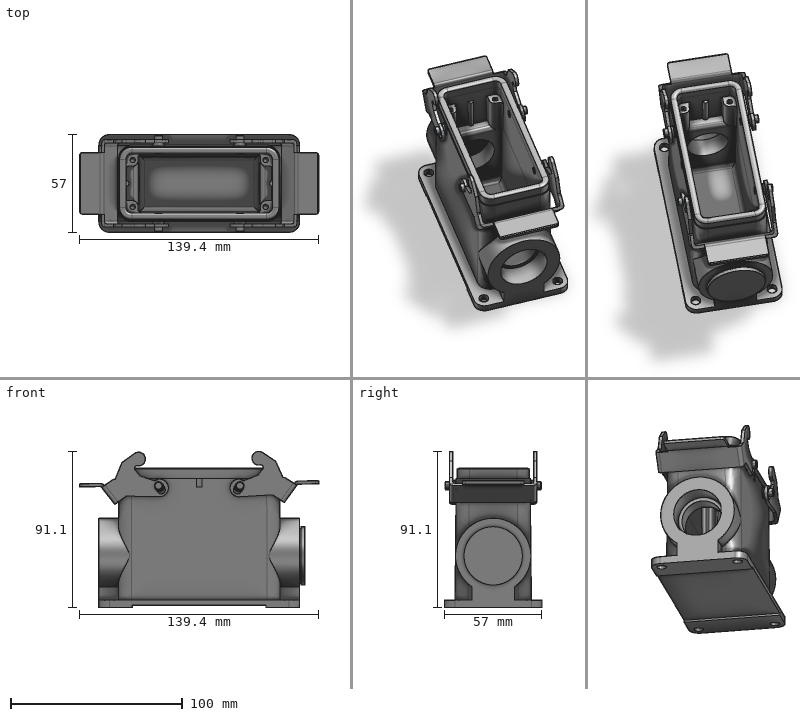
import cadquery as cq
import math

base_half_x = 58.5
base_half_y = 28.51
base_corner = 6.3
base_height = 4.3
underside_half_x = 38.9
underside_depth = 1.3
screw_x = 52.4
screw_y = 22.6
screw_dia = 5.6

foot_half_x = 47.1
foot_half_y = 22.3
body_half_x = 47.0
body_half_y = 21.6
body_corner = 7.7
body_top = 75.3

rim_step = 0.5
rim_half_x = body_half_x - rim_step
rim_half_y = body_half_y - rim_step
rim_corner = body_corner - rim_step
rim_edge_z = 80.6
rim_top_z = 81.3
wall = 3.8

notch_width = 3.0
notch_bottom = 70.1
notch_depth = 0.4

cavity_half_x = rim_half_x - wall
cavity_half_y = rim_half_y - wall
cavity_corner = rim_corner - wall
cavity_draft = 0.4
shelf_z = 48.8
shelf_half_y = cavity_half_y - cavity_draft
well_half_x = 35.7
shelf_edge_round = 2.6
floor_half_x = 34.6
floor_half_y = 16.3
floor_z = base_height
floor_fillet = 2.8

post_inner_x = well_half_x
post_inner_y = 10.0
post_round = 3.2
post_side_blend = 2.8
post_end_blend = 1.4
post_top = 69.3
post_foot = shelf_z - shelf_edge_round
post_hole_dia = 3.0
post_hole_x = 38.8
post_hole_y = 13.7
post_hole_depth = 14.0
post_hole_tip = 1.0

peg_dia = 3.3
peg_top = 68.3

port_z = 30.1
port_dia = 43.9
port_inner_x = 39.5
port_web_half_y = 12.3
bore_dia = 28.3
bore_shoulder_x = 45.5
throat_dia = 24.0

plug_neck_dia = 32.0
plug_neck_length = 0.8
plug_head_dia = 34.0
plug_head_length = 2.2

pivot_x = 23.7
pivot_z = 71.0
pin_dia = 4.7
pin_tip_dia = 4.0
pin_tip_y = 28.0
boss_foot_dia = 7.0
boss_head_dia = 5.6
boss_collar_y = 22.3
dimple_dia = 4.0
dimple_depth = 0.3

lever_half_y = 25.5
sheet = 2.0
lever_bend = 2.4
lever_bend_inside = 1.8
lever_reach = 55.8
left_tilt = -0.9
right_tilt = 1.4

plate_top = (33.2, -0.5)
plate_bottom = (25.7, -10.5)
hook_center = (11.5, 15.8)
hook_radius = 4.0
eye_center = (-0.5, -1.3)
eye_radius = 5.2
slot_run = (-1.5, -2.44)

plate_run = (plate_top[0] - plate_bottom[0], plate_top[1] - plate_bottom[1])
plate_length = math.hypot(*plate_run)
plate_along = (plate_run[0] / plate_length, plate_run[1] / plate_length)
plate_inward = (-plate_along[1], plate_along[0])
plate_inner_top = (plate_top[0] + sheet * plate_inward[0], plate_top[1] + sheet * plate_inward[1])

tab_tip = 46.0
tab_bend = 2.8
tab_edge_x = 0.7
tab_edge_z = 0.4
tab_bottom = 0.0
tab_half_y = 18.0
tab_corner = 1.8


def rounded_slab(half_x, half_y, corner, z_low, z_high):
    """Upright block with a rounded rectangular outline."""
    slab = cq.Workplane("XY").workplane(offset=z_low).rect(2 * half_x, 2 * half_y)
    return slab.extrude(z_high - z_low).edges("|Z").fillet(corner)


def rounded_outline(half_x, half_y, corner, z):
    """Rounded rectangle at height z."""
    return cq.Sketch().rect(2 * half_x, 2 * half_y).vertices().fillet(corner).moved(cq.Location((0, 0, z)))


def tapered_block(low_half, low_z, high_half, high_z):
    """Four-sided block whose rectangular section changes from bottom to top."""
    block = cq.Workplane("XY").workplane(offset=low_z).rect(2 * low_half[0], 2 * low_half[1])
    block = block.workplane(offset=high_z - low_z).rect(2 * high_half[0], 2 * high_half[1])
    return block.loft(ruled=True)


def x_cylinder(dia, x_start, x_end):
    """Cylinder along X on the port axis."""
    disc = cq.Workplane("YZ", origin=(x_start, 0, port_z)).circle(dia / 2)
    return disc.extrude(x_end - x_start)


def turned_about_y(steps):
    """Round part along +Y through a pivot; steps are (radius, y) from the inside outward."""
    outline = [(0, steps[0][1])] + steps + [(0, steps[-1][1])]
    return cq.Workplane("XY").polyline(outline).close().revolve(360, (0, 0, 0), (0, 1, 0))


def at_pivots(shape):
    """The shape repeated on all four lever pivots."""
    placed = cq.Workplane("XY")
    for x in (-pivot_x, pivot_x):
        for turn in (0, 180):
            placed = placed.add(shape.rotate((0, 0, 0), (0, 0, 1), turn).translate((x, 0, pivot_z)))
    return placed.combine()


def mirrored_to_corners(shape):
    """The shape of the +X +Y corner together with its three mirror images."""
    pair = shape.union(shape.mirror("YZ"))
    return pair.union(pair.mirror("XZ"))


def make_base():
    """Mounting flange with four screw holes and a relieved underside."""
    base = rounded_slab(base_half_x, base_half_y, base_corner, 0, base_height)
    recess = cq.Workplane("XY").box(2 * underside_half_x, 2 * base_half_y, underside_depth,
                                    centered=(True, True, False))
    holes = cq.Workplane("XY").rect(2 * screw_x, 2 * screw_y, forConstruction=True).vertices()
    holes = holes.circle(screw_dia / 2).extrude(base_height)
    return base.cut(recess).cut(holes)


def make_hood():
    """Drafted outer walls with the slightly smaller rim on top."""
    hood = cq.Workplane("XY").placeSketch(
        rounded_outline(foot_half_x, foot_half_y, body_corner, base_height),
        rounded_outline(body_half_x, body_half_y, body_corner, body_top),
    ).loft(ruled=True)
    rim = rounded_slab(rim_half_x, rim_half_y, rim_corner, body_top, rim_edge_z)
    return hood.union(rim)


def make_rim_crown():
    """Low rounded ridge that runs along the top of the rim."""
    mid_x = rim_half_x - wall / 2
    mid_y = rim_half_y - wall / 2
    mid_corner = rim_corner - wall / 2
    straight_x = mid_x - mid_corner
    straight_y = mid_y - mid_corner
    diagonal = mid_corner * math.sqrt(0.5)
    path = cq.Workplane("XY", origin=(0, 0, rim_edge_z)).moveTo(mid_x, 0)
    for sx, sy in ((1, 1), (-1, 1), (-1, -1), (1, -1)):
        side_point = (sx * mid_x, sy * straight_y)
        end_point = (sx * straight_x, sy * mid_y)
        middle = (sx * (straight_x + diagonal), sy * (straight_y + diagonal))
        start, finish = (side_point, end_point) if sx == sy else (end_point, side_point)
        path = path.lineTo(*start).threePointArc(middle, finish)
    path = path.close()
    ridge = cq.Workplane("XZ").moveTo(cavity_half_x, rim_edge_z)
    ridge = ridge.threePointArc((mid_x, rim_top_z), (rim_half_x, rim_edge_z)).close()
    return ridge.sweep(path)


def make_ports():
    """Both cable ports with the webs that carry them."""
    port = x_cylinder(port_dia, port_inner_x, base_half_x)
    web = cq.Workplane("XY").box(base_half_x - port_inner_x, 2 * port_web_half_y, port_z,
                                 centered=(False, True, False)).translate((port_inner_x, 0, 0))
    web = web.cut(cq.Workplane("XY").box(2 * base_half_x, 2 * base_half_y, base_height,
                                         centered=(True, True, False)))
    port = port.union(web)
    return port.union(port.mirror("YZ"))


def make_port_bores():
    """Through passage along X with a wider bore at each end."""
    throat = x_cylinder(throat_dia, -base_half_x, base_half_x)
    for side in (-1, 1):
        throat = throat.union(x_cylinder(bore_dia, side * bore_shoulder_x, side * base_half_x))
    return throat


def make_cavity():
    """Drafted upper chamber and the narrower well below its end shelves."""
    throat = rounded_slab(cavity_half_x, cavity_half_y, cavity_corner, body_top, rim_top_z)
    chamber = cq.Workplane("XY").placeSketch(
        rounded_outline(cavity_half_x - cavity_draft, shelf_half_y, cavity_corner, shelf_z),
        rounded_outline(cavity_half_x, cavity_half_y, cavity_corner, body_top),
    ).loft(ruled=True)
    well = tapered_block((floor_half_x, floor_half_y), floor_z, (well_half_x, shelf_half_y), shelf_z)
    well = well.faces("<Z").edges().fillet(floor_fillet)
    cavity = throat.union(chamber).union(well)
    for side in (-1, 1):
        shelf_edge = cq.NearestToPointSelector((side * well_half_x, 0, shelf_z))
        cavity = cavity.edges(shelf_edge).fillet(shelf_edge_round)
    return cavity


def make_post():
    """Corner post that blends into both cavity walls."""
    root_x = cavity_half_x + cavity_corner / 4
    root_y = cavity_half_y + cavity_corner / 4
    post = (
        cq.Workplane("XY").workplane(offset=post_foot)
        .moveTo(root_x, root_y)
        .lineTo(root_x, post_inner_y - post_end_blend)
        .lineTo(cavity_half_x, post_inner_y - post_end_blend)
        .radiusArc((cavity_half_x - post_end_blend, post_inner_y), -post_end_blend)
        .lineTo(post_inner_x + post_round, post_inner_y)
        .radiusArc((post_inner_x, post_inner_y + post_round), post_round)
        .lineTo(post_inner_x, cavity_half_y - post_side_blend)
        .radiusArc((post_inner_x - post_side_blend, cavity_half_y), -post_side_blend)
        .lineTo(post_inner_x - post_side_blend, root_y)
        .close()
        .extrude(post_top - post_foot)
    )
    hole = (
        cq.Workplane("XZ")
        .polyline([
            (0, post_top),
            (post_hole_dia / 2, post_top),
            (post_hole_dia / 2, post_top - post_hole_depth),
            (0, post_top - post_hole_depth - post_hole_tip),
        ])
        .close()
        .revolve(360, (0, 0, 0), (0, 1, 0))
        .translate((post_hole_x, post_hole_y, 0))
    )
    return post.cut(hole)


def make_pegs():
    """Half-round ribs in the middle of both end walls."""
    pegs = cq.Workplane("XY").workplane(offset=shelf_z)
    pegs = pegs.pushPoints([(-cavity_half_x, 0), (cavity_half_x, 0)]).circle(peg_dia / 2)
    return pegs.extrude(peg_top - shelf_z)


def make_pins():
    """Pivot pins with their conical bosses."""
    tip_chamfer = (pin_dia - pin_tip_dia) / 2
    boss_top = lever_half_y - sheet
    boss_foot = rim_half_y
    return at_pivots(turned_about_y([
        (boss_foot_dia / 2, boss_foot),
        (boss_foot_dia / 2, boss_collar_y),
        (boss_head_dia / 2, boss_top),
        (pin_dia / 2, boss_top),
        (pin_dia / 2, pin_tip_y - tip_chamfer),
        (pin_tip_dia / 2, pin_tip_y),
    ]))


def make_dimples():
    """Shallow round marks behind the pins on the cavity side."""
    return at_pivots(turned_about_y([
        (dimple_dia / 2, cavity_half_y - dimple_depth),
        (dimple_dia / 2, cavity_half_y + dimple_depth),
    ]))


def make_notch():
    """Shallow slot in the front wall below the rim."""
    notch = cq.Workplane("XY").box(notch_width, body_half_y, body_top - notch_bottom,
                                   centered=(True, False, False))
    return notch.translate((0, notch_depth - 2 * body_half_y, notch_bottom))


def make_housing():
    """Complete housing: flange, hood, ports, posts and pivot pins."""
    housing = make_base().union(make_hood()).union(make_ports())
    housing = housing.cut(make_cavity()).cut(make_port_bores()).cut(make_dimples()).cut(make_notch())
    housing = housing.union(mirrored_to_corners(make_post())).union(make_pegs())
    return housing.union(make_pins()).union(make_rim_crown())


def make_plug():
    """Stopper that closes the +X port."""
    neck_end = base_half_x + plug_neck_length
    stem = x_cylinder(bore_dia, bore_shoulder_x, base_half_x)
    neck = x_cylinder(plug_neck_dia, base_half_x, neck_end)
    head = x_cylinder(plug_head_dia, neck_end, neck_end + plug_head_length)
    return stem.union(neck).union(head)


def lever_outline():
    """Side outline of a lever, pivot at the origin and +X outward."""
    hook_x, hook_z = hook_center
    eye_x, eye_z = eye_center
    hook_shoulder = (hook_x + 0.6 * hook_radius, hook_z + 0.8 * hook_radius)
    return (
        cq.Workplane("XZ")
        .moveTo(*plate_bottom)
        .lineTo(*plate_top)
        .lineTo(*plate_inner_top)
        .lineTo(26.2, 4.2)
        .lineTo(25.2, 4.3)
        .lineTo(21.2, 13.8)
        .lineTo(*hook_shoulder)
        .threePointArc((hook_x - hook_radius, hook_z), (hook_x, hook_z - hook_radius))
        .lineTo(12.4, 11.9)
        .threePointArc((13.5, 11.2), (13.7, 9.6))
        .lineTo(10.6, 5.9)
        .lineTo(2.4, 2.9)
        .threePointArc((eye_x - eye_radius, eye_z), (eye_x, eye_z - eye_radius))
        .lineTo(19.0, -5.7)
        .close()
    )


def make_lever():
    """Bent sheet lever: two side arms, a sloped back plate and a finger tab."""
    blank = lever_outline().extrude(lever_half_y, both=True)

    bend_plane = cq.Plane(
        origin=(plate_bottom[0], 0, plate_bottom[1]),
        xDir=(plate_inward[0], 0, plate_inward[1]),
        normal=(plate_along[0], 0, plate_along[1]),
    )

    def channel(inset, corner):
        half_width = lever_half_y - inset
        return (
            cq.Workplane(bend_plane)
            .moveTo(lever_reach, -half_width)
            .lineTo(inset + corner, -half_width)
            .tangentArcPoint((inset, corner - half_width), relative=False)
            .lineTo(inset, half_width - corner)
            .tangentArcPoint((inset + corner, half_width), relative=False)
            .lineTo(lever_reach, half_width)
            .close()
            .extrude(lever_reach, both=True)
        )

    lever = blank.intersect(channel(0, lever_bend)).cut(channel(sheet, lever_bend_inside))
    return lever.union(make_tab()).cut(make_slot())


def make_tab():
    """Finger tab bent outward from the top of the back plate."""
    tab_top = tab_bottom + sheet
    slope = plate_run[0] / plate_run[1]
    top_bend_x = plate_inner_top[0] + slope * (tab_top - plate_inner_top[1])
    bottom_bend_x = plate_top[0] + slope * (tab_bottom - plate_top[1])
    outline = [
        (tab_tip, tab_bottom),
        (tab_tip, tab_top - tab_edge_z),
        (tab_tip - tab_edge_x, tab_top),
        (top_bend_x, tab_top),
        plate_inner_top,
        plate_top,
        (bottom_bend_x, tab_bottom),
    ]
    tab = cq.Workplane("XZ").polyline(outline).close().extrude(tab_half_y, both=True)
    tab = tab.edges(cq.NearestToPointSelector((top_bend_x, 0, tab_top))).fillet(tab_bend)
    reach = tab_tip - plate_inner_top[0]
    plan = cq.Workplane("XY").box(reach, 2 * tab_half_y, lever_reach, centered=(False, True, True))
    plan = plan.edges("|Z and >X").fillet(tab_corner).translate((plate_inner_top[0], 0, 0))
    return tab.intersect(plan)


def make_slot():
    """Slot through both arms, from the pivot down toward the middle of the housing."""
    slot_length = math.hypot(*slot_run) + pin_dia
    slot_angle = math.degrees(math.atan2(slot_run[1], slot_run[0]))
    slot = cq.Workplane("XZ").center(slot_run[0] / 2, slot_run[1] / 2)
    return slot.slot2D(slot_length, pin_dia, slot_angle).extrude(lever_half_y, both=True)


def placed_lever(side, tilt):
    """Lever hung on its pins; a positive tilt raises the tab."""
    lever = make_lever().rotate((0, 0, 0), (0, 1, 0), -tilt)
    if side < 0:
        lever = lever.mirror("YZ")
    return lever.translate((side * pivot_x, 0, pivot_z))


housing = make_housing()
plug = make_plug()
levers = [placed_lever(-1, left_tilt), placed_lever(1, right_tilt)]

result = cq.Compound.makeCompound([housing.val(), plug.val(), *[lever.val() for lever in levers]])